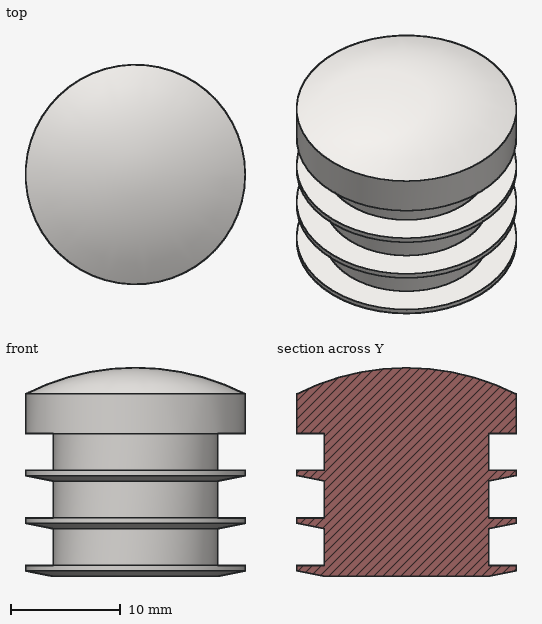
import cadquery as cq

outer_radius = 20 / 2
stem_radius = 15 / 2
total_height = 19.0
stem_height = 13.0
dome_height = 2.4
fin_count = 3
fin_rim_height = 0.5
fin_taper_height = 0.5
fin_pitch = stem_height / fin_count


def make_fin(base_height):
    """Flat-topped fin whose underside tapers in to the stem."""
    rim_bottom = base_height + fin_taper_height
    rim_top = rim_bottom + fin_rim_height
    return (
        cq.Workplane("XZ")
        .moveTo(0, base_height)
        .lineTo(stem_radius, base_height)
        .lineTo(outer_radius, rim_bottom)
        .lineTo(outer_radius, rim_top)
        .lineTo(0, rim_top)
        .close()
        .revolve(360, (0, 0, 0), (0, 1, 0))
    )


def make_cap():
    """Cylindrical cap with a spherical dome on top."""
    shoulder_height = total_height - dome_height
    dome_radius = (outer_radius**2 + dome_height**2) / (2 * dome_height)
    dome_center_height = total_height - dome_radius
    middle_x = outer_radius / 2
    middle_height = dome_center_height + (dome_radius**2 - middle_x**2) ** 0.5
    return (
        cq.Workplane("XZ")
        .moveTo(0, stem_height)
        .lineTo(outer_radius, stem_height)
        .lineTo(outer_radius, shoulder_height)
        .threePointArc((middle_x, middle_height), (0, total_height))
        .close()
        .revolve(360, (0, 0, 0), (0, 1, 0))
    )


stem = cq.Workplane("XY").circle(stem_radius).extrude(stem_height)
result = stem.union(make_cap())
for fin_index in range(fin_count):
    result = result.union(make_fin(fin_index * fin_pitch))